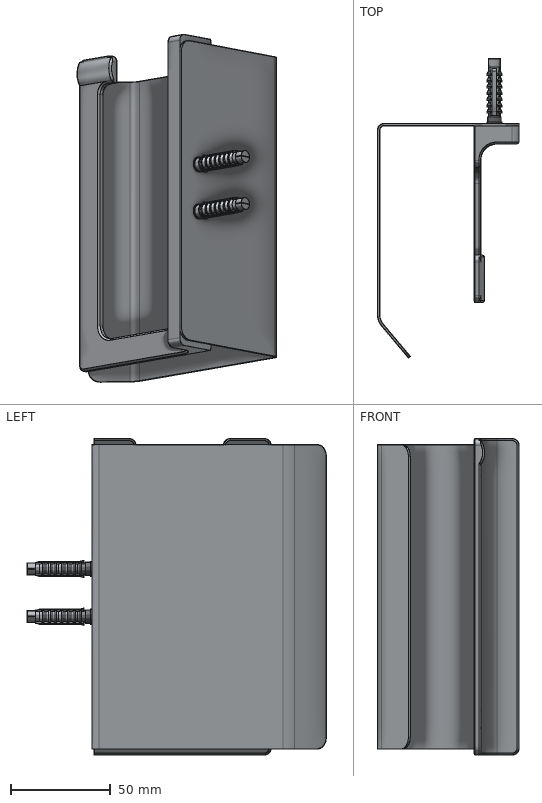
import cadquery as cq
import math

TOTAL_WIDTH = 71.2
TOTAL_HEIGHT = 159.0
TOTAL_DEPTH = 150.35
ANCHOR_LENGTH = 32.5

GUARD_DEPTH = TOTAL_DEPTH - ANCHOR_LENGTH
GUARD_HEIGHT = 153.0
SHEET = 1.2
BACK_BEND_RADIUS = 3.5
LIP_BEND_RADIUS = 9.0
LIP_ANGLE = math.radians(40)
LIP_BEND_START = 96.0
GUARD_CORNER_RADIUS = 6.0

HOOK_X = 48.5
PLATE = 3.5
HOOK_FRONT = 90.1
BLOCK_FRONT = 10.4
REAR_ARM_FRONT = 22.2
BLOCK_FILLET = 8.0
HOOK_CORNER_RADIUS = 3.5
FRONT_ARM_WIDTH = 14.3
BASE_HEIGHT = 14.3
OPENING_RADIUS = 8.0
EDGE_CHAMFER = 1.0
SIDE_CHAMFER_DEPTH = 0.5

CATCH_LENGTH = 24.0
CATCH_HEIGHT = 14.0
CATCH_FILLET = 5.0
BULGE_RISE = 1.9

ANCHOR_X = 58.8
ANCHOR_HEIGHTS = (-10.0, 14.0)
TIP_RADIUS = 3.0
TIP_LENGTH = 4.1
CORE_RADIUS = 2.0
SLOT_WIDTH = 0.3
SLOT_DEPTH = 3.5
COLLAR_RADIUS = 3.8
COLLAR_LENGTH = 0.6
NECK_RADIUS = 3.4
NECK_END = 3.3
RIB_RADIUS = 3.75
RIB_COUNT = 7
RIB_PITCH = 3.15
RIB_LENGTH = 2.2
RIB_LAND = 0.8
FIRST_RIB = 5.1
RAIL_WIDTH = 4.4
RAIL_REACH = 3.3
FIN_WIDTH = 2.2
FIN_REACH = 3.8
FIN_START = 4.0
FIN_SLOPE = 2.0
BARB_REACH = 4.3
BARB_LENGTH = 2.0


def box_between(x0, x1, y0, y1, z0, z1):
    return cq.Workplane("XY").box(x1 - x0, y1 - y0, z1 - z0, centered=False).translate((x0, y0, z0))


def make_guard():
    """Back flange, side wall and inclined lip bent from one sheet, with rounded free corners."""
    sin_a = math.sin(LIP_ANGLE)
    cos_a = math.cos(LIP_ANGLE)
    bend_y = -LIP_BEND_START
    inner_back = BACK_BEND_RADIUS - SHEET
    inner_lip = LIP_BEND_RADIUS - SHEET

    def on_back_bend(radius):
        step = radius * math.sqrt(0.5)
        return BACK_BEND_RADIUS - step, -BACK_BEND_RADIUS + step

    def on_lip_bend(radius, angle):
        return LIP_BEND_RADIUS - radius * math.cos(angle), bend_y - radius * math.sin(angle)

    outer_end = on_lip_bend(LIP_BEND_RADIUS, LIP_ANGLE)
    inner_end = on_lip_bend(inner_lip, LIP_ANGLE)
    lip_length = (GUARD_DEPTH + outer_end[1]) / cos_a
    lip_run = (lip_length * sin_a, -lip_length * cos_a)
    outer_tip = (outer_end[0] + lip_run[0], outer_end[1] + lip_run[1])
    inner_tip = (inner_end[0] + lip_run[0], inner_end[1] + lip_run[1])

    guard = (
        cq.Workplane("XY")
        .workplane(offset=-GUARD_HEIGHT / 2)
        .moveTo(TOTAL_WIDTH, 0)
        .lineTo(BACK_BEND_RADIUS, 0)
        .threePointArc(on_back_bend(BACK_BEND_RADIUS), (0, -BACK_BEND_RADIUS))
        .lineTo(0, bend_y)
        .threePointArc(on_lip_bend(LIP_BEND_RADIUS, LIP_ANGLE / 2), outer_end)
        .lineTo(*outer_tip)
        .lineTo(*inner_tip)
        .lineTo(*inner_end)
        .threePointArc(on_lip_bend(inner_lip, LIP_ANGLE / 2), (SHEET, bend_y))
        .lineTo(SHEET, -BACK_BEND_RADIUS)
        .threePointArc(on_back_bend(inner_back), (BACK_BEND_RADIUS, -SHEET))
        .lineTo(TOTAL_WIDTH, -SHEET)
        .close()
        .extrude(GUARD_HEIGHT)
    )
    guard = guard.faces(">X").edges("|Y").fillet(GUARD_CORNER_RADIUS)
    nearest = cq.selectors.NearestToPointSelector
    for z in (-GUARD_HEIGHT / 2, GUARD_HEIGHT / 2):
        tip_middle = ((outer_tip[0] + inner_tip[0]) / 2, (outer_tip[1] + inner_tip[1]) / 2, z)
        guard = guard.edges(nearest(tip_middle)).fillet(GUARD_CORNER_RADIUS)
    return guard


def make_hook_plate():
    """U-shaped plate: rear arm, base and a front arm with the wider catch at its top."""
    top = TOTAL_HEIGHT / 2
    base_top = -top + BASE_HEIGHT
    arm_rear = -HOOK_FRONT + FRONT_ARM_WIDTH
    catch_rear = -HOOK_FRONT + CATCH_LENGTH
    catch_bottom = top - CATCH_HEIGHT
    plate = (
        cq.Workplane("YZ")
        .workplane(offset=HOOK_X)
        .moveTo(-SHEET, -top)
        .lineTo(-HOOK_FRONT, -top)
        .lineTo(-HOOK_FRONT, top)
        .lineTo(catch_rear, top)
        .lineTo(catch_rear, catch_bottom)
        .lineTo(arm_rear, catch_bottom)
        .lineTo(arm_rear, base_top)
        .lineTo(-REAR_ARM_FRONT, base_top)
        .lineTo(-REAR_ARM_FRONT, top)
        .lineTo(-SHEET, top)
        .close()
        .extrude(PLATE)
    )

    def round_corners(solid, corners, radius):
        for y, z in corners:
            point = (HOOK_X + PLATE / 2, y, z)
            solid = solid.edges(cq.selectors.NearestToPointSelector(point)).fillet(radius)
        return solid

    outer_corners = [(-HOOK_FRONT, -top), (-HOOK_FRONT, top), (catch_rear, top), (-REAR_ARM_FRONT, top)]
    plate = round_corners(plate, outer_corners, HOOK_CORNER_RADIUS)
    plate = round_corners(plate, [(-REAR_ARM_FRONT, base_top), (arm_rear, base_top)], OPENING_RADIUS)
    return round_corners(plate, [(arm_rear, catch_bottom)], CATCH_FILLET)


def make_block():
    """Mounting block on the +X side of the plate at the wall, blended into it by a concave fillet."""
    plate_face = HOOK_X + PLATE
    fillet_end = -BLOCK_FRONT - BLOCK_FILLET
    step = BLOCK_FILLET * (1 - math.sqrt(0.5))
    block = (
        cq.Workplane("XY")
        .workplane(offset=-TOTAL_HEIGHT / 2)
        .moveTo(HOOK_X, -SHEET)
        .lineTo(TOTAL_WIDTH, -SHEET)
        .lineTo(TOTAL_WIDTH, -BLOCK_FRONT)
        .lineTo(plate_face + BLOCK_FILLET, -BLOCK_FRONT)
        .threePointArc((plate_face + step, -BLOCK_FRONT - step), (plate_face, fillet_end))
        .lineTo(HOOK_X, fillet_end)
        .close()
        .extrude(TOTAL_HEIGHT)
    )
    return block.faces(">X").edges("|Y").fillet(HOOK_CORNER_RADIUS)


def make_bulge():
    """Rounded thickening on the +X face of the catch: an arc in profile, chamfered along both ends."""
    face = HOOK_X + PLATE
    root = face - EDGE_CHAMFER
    top = TOTAL_HEIGHT / 2
    arc_top = top - EDGE_CHAMFER
    arc_bottom = top - CATCH_HEIGHT + EDGE_CHAMFER
    arc_middle = (face + BULGE_RISE, (arc_top + arc_bottom) / 2)
    catch_rear = -HOOK_FRONT + CATCH_LENGTH
    bulge = (
        cq.Workplane("XZ", origin=(0, catch_rear, 0))
        .moveTo(root, arc_bottom)
        .lineTo(face, arc_bottom)
        .threePointArc(arc_middle, (face, arc_top))
        .lineTo(root, arc_top)
        .close()
        .extrude(CATCH_LENGTH)
    )
    for y in (-HOOK_FRONT, catch_rear):
        end_arc = cq.selectors.NearestToPointSelector((arc_middle[0], y, arc_middle[1]))
        bulge = bulge.edges(end_arc).chamfer(EDGE_CHAMFER)
    catch_outline = box_between(root, face + BULGE_RISE, -HOOK_FRONT, catch_rear, top - CATCH_HEIGHT, top)
    catch_outline = catch_outline.edges("|X").edges(">Z").fillet(HOOK_CORNER_RADIUS)
    return bulge.intersect(catch_outline)


def make_hook():
    """Plate and block in one, with all outer edges chamfered, and the catch bulge."""
    hook = make_hook_plate().union(make_block()).clean()
    block_front = cq.selectors.NearestToPointSelector((TOTAL_WIDTH - HOOK_CORNER_RADIUS, -BLOCK_FRONT, 0))
    hook = hook.faces(block_front).edges(">X").chamfer(EDGE_CHAMFER)
    side_edges = hook.faces("<X").edges("not(|Z and >Y)")
    hook = side_edges.chamfer(EDGE_CHAMFER, SIDE_CHAMFER_DEPTH)
    return hook.union(make_bulge())


def make_anchor_core():
    """Smooth core, its split tip wider than the part inside the sleeve. Built along +Y from the origin."""
    tip_start = ANCHOR_LENGTH - TIP_LENGTH
    core = (
        cq.Workplane("XY")
        .lineTo(CORE_RADIUS, 0)
        .lineTo(CORE_RADIUS, tip_start)
        .lineTo(TIP_RADIUS, tip_start)
        .lineTo(TIP_RADIUS, ANCHOR_LENGTH)
        .lineTo(0, ANCHOR_LENGTH)
        .close()
        .revolve(360, (0, 0, 0), (0, 1, 0))
    )
    slot = box_between(-TIP_RADIUS, TIP_RADIUS, ANCHOR_LENGTH - SLOT_DEPTH, ANCHOR_LENGTH,
                       -SLOT_WIDTH / 2, SLOT_WIDTH / 2)
    return core.cut(slot)


def make_anchor_sleeve():
    """Ribbed sleeve with a collar and two rails, each with a barbed fin. Built along +Y from the origin."""
    sleeve_end = ANCHOR_LENGTH - TIP_LENGTH
    profile = (
        cq.Workplane("XY")
        .moveTo(CORE_RADIUS, 0)
        .lineTo(COLLAR_RADIUS, 0)
        .lineTo(COLLAR_RADIUS, COLLAR_LENGTH)
        .lineTo(NECK_RADIUS, COLLAR_LENGTH)
        .lineTo(NECK_RADIUS, NECK_END)
        .lineTo(TIP_RADIUS, NECK_END)
    )
    for i in range(RIB_COUNT):
        rib_y = FIRST_RIB + i * RIB_PITCH
        profile = profile.lineTo(TIP_RADIUS, rib_y).lineTo(RIB_RADIUS, rib_y)
        profile = profile.lineTo(RIB_RADIUS, rib_y + RIB_LAND)
        profile = profile.lineTo(TIP_RADIUS, rib_y + RIB_LENGTH)
    sleeve = (
        profile
        .lineTo(TIP_RADIUS, sleeve_end)
        .lineTo(CORE_RADIUS, sleeve_end)
        .close()
        .revolve(360, (0, 0, 0), (0, 1, 0))
    )
    root = (CORE_RADIUS + TIP_RADIUS) / 2
    rail = box_between(-RAIL_WIDTH / 2, RAIL_WIDTH / 2, FIN_START, sleeve_end, root, RAIL_REACH)
    fin = (
        cq.Workplane("YZ", origin=(-FIN_WIDTH / 2, 0, 0))
        .moveTo(FIN_START, root)
        .lineTo(FIN_START, BARB_REACH)
        .lineTo(FIN_START + BARB_LENGTH, FIN_REACH)
        .lineTo(sleeve_end - FIN_SLOPE, FIN_REACH)
        .lineTo(sleeve_end, TIP_RADIUS)
        .lineTo(sleeve_end, root)
        .close()
        .extrude(FIN_WIDTH)
    )
    finned_rail = rail.union(fin)
    return sleeve.union(finned_rail).union(finned_rail.mirror("XY"))


guard = make_guard()
hook = make_hook()
anchor_bodies = []
for anchor_z in ANCHOR_HEIGHTS:
    for part in (make_anchor_core(), make_anchor_sleeve()):
        anchor_bodies.append(part.translate((ANCHOR_X, 0, anchor_z)).val())

result = cq.Compound.makeCompound([guard.val(), hook.val(), *anchor_bodies])